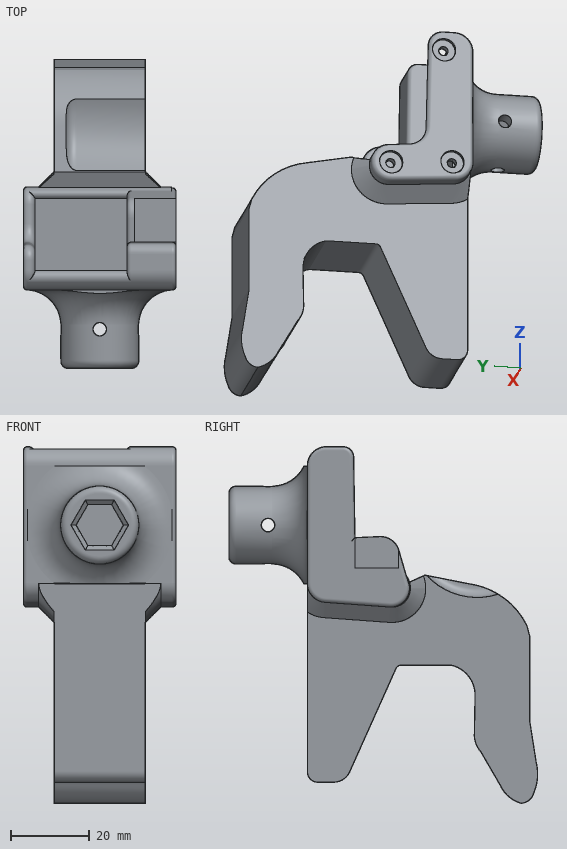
import cadquery as cq
import math


half_width = 19.5
top_z = 91.1
corner_radius = 4.9
edge_radius = 1.0
cheek_thickness = 3.0
cheek_rim_radius = 1.8
cheek_back_radius = 3.8
holder_back = 26.3
wall_thickness = corner_radius
floor_z = 52.4
lip_front = 23.3
lip_rim_radius = 1.1
block_left = 7.0
block_back_radius = 2.7
block_shoulder_radius = 4.9
core_inset = edge_radius + 0.2

front_bottom = (0, 51.7)
front_top = (0, top_z)
back_bottom = (holder_back, 49.75)
cheek_top_back = (11.5, top_z)
cheek_step_inner = (12.2, 60.7)
cheek_step_outer = (holder_back, 59.5)
foot_radius = 4.7
block_top_back = (11.85, top_z)
block_step_inner = (12.2, 67.9)
block_step_outer = (22.3, 68.3)
block_heel = (26.1, 55.6)

pocket_left = 8.9
pocket_back = 23.3
pocket_floor_z = 60.1
pocket_top_z = 72.9

screw_places = [(7.65, 86.0), (5.5, 55.95), (21.4, 54.9)]
screw_diameter = 2.4
screw_head_diameter = 6.0
screw_head_depth = 1.0

socket_z = 71.1
socket_radius = 20.0 / 2
socket_length = 20.05
socket_end_radius = 1.9
flare_radius = 8.9
flare_half_height = 15.0
flare_half_width = 18.5
hex_mouth_width = 12.8
hex_width = 10.5
hex_depth = 13.7
pin_diameter = 3.4
pin_y = -10

arm_half_width = 11.7
neck_half_width = 15.6
arm_front_top_z = 56.1
lip_top = (26.1, 56.5)
hump_tip = (30.1, 58.3)
hump_end = (41.6, 56.0)
crotch = (23.05, 35.3)
leg_back = (9.7, 5.4)
arm_underside_z = crotch[1]
leg_bottom_z = leg_back[1]
leg_front_radius = 2.7
leg_back_radius = 4.6
crotch_radius = 1.4
scoop_front = (30.5, 58.2)
scoop_back = (48.7, 53.4)
scoop_left = -8.6
scoop_depth = 2.7
scoop_end_radius = 2.7

overshoot = 0.9


def side_plane(x):
    return cq.Workplane("YZ", origin=(x, 0, 0))


def box(x_range, y_range, z_range):
    corners = list(zip(x_range, y_range, z_range))
    size = [high - low for low, high in zip(*corners)]
    return cq.Workplane("XY").box(*size, centered=False).translate(corners[0])


def rounded_prism(corners, x_start, x_end):
    """Prism along X from (Y, Z, radius) corners, each rounded by its radius."""
    points = [(y, z) for y, z, _ in corners]
    prism = side_plane(x_start).polyline(points).close().extrude(x_end - x_start)
    for y, z, radius in corners:
        if radius:
            near = cq.selectors.NearestToPointSelector(((x_start + x_end) / 2, y, z))
            prism = prism.edges("|X").edges(near).fillet(radius)
    return prism


def cheek_prism(x_start, x_end):
    return rounded_prism(
        [
            (*front_bottom, corner_radius),
            (*front_top, corner_radius),
            (*cheek_top_back, cheek_back_radius),
            (*cheek_step_inner, corner_radius),
            (*cheek_step_outer, foot_radius),
            (*back_bottom, foot_radius),
        ],
        x_start,
        x_end,
    )


def left_cheek():
    inner_x = -half_width + cheek_thickness
    cheek = cheek_prism(-half_width, inner_x)
    cheek = cheek.faces("<X").edges().fillet(edge_radius)
    return cheek.faces(">X").edges().fillet(cheek_rim_radius)


def cavity(x_start, x_end):
    return box((x_start, x_end), (wall_thickness, lip_front), (floor_z, top_z + overshoot))


def tray_core():
    """Front wall, floor and back lip that join the cheek to the block."""
    x_end = half_width - core_inset
    core = cheek_prism(-x_end, x_end)
    core = core.cut(cavity(-x_end, x_end))
    for y, z, radius in [
        (wall_thickness, top_z, cheek_rim_radius),
        (lip_front, cheek_step_outer[1], lip_rim_radius),
    ]:
        near = cq.selectors.NearestToPointSelector((0, y, z))
        core = core.edges("|X").edges(near).fillet(radius)
    return core


def right_block():
    block = rounded_prism(
        [
            (*front_bottom, corner_radius),
            (*front_top, corner_radius),
            (*block_top_back, block_back_radius),
            (*block_step_inner, 0),
            (*block_step_outer, block_shoulder_radius),
            (*block_heel, 0),
            (*back_bottom, foot_radius),
        ],
        block_left,
        half_width,
    )
    block = block.faces("<X or >X").edges().fillet(edge_radius)
    pocket = box(
        (pocket_left, half_width + overshoot),
        (cheek_step_inner[0], pocket_back),
        (pocket_floor_z, pocket_top_z),
    )
    return block.cut(pocket)


def neck():
    """45-degree flares from the arm sides out to the holder."""
    depth = neck_half_width - arm_half_width
    foot = rounded_prism(
        [
            (*front_bottom, corner_radius),
            (0, cheek_step_inner[1], 0),
            (*cheek_step_outer, foot_radius),
            (*back_bottom, foot_radius),
        ],
        -half_width,
        -neck_half_width,
    )
    flare = foot.faces(">X").wires().toPending().extrude(depth, combine=False, taper=-45)
    trim = (
        side_plane(-neck_half_width)
        .polyline([(0, 0), (0, arm_front_top_z), lip_top, hump_tip, (hump_tip[0] + depth, 0)])
        .close()
        .extrude(depth)
    )
    flare = flare.intersect(trim)
    return flare.union(flare.mirror("YZ"))


def arm():
    profile = (
        side_plane(-arm_half_width)
        .moveTo(0, leg_bottom_z)
        .lineTo(0, arm_front_top_z)
        .lineTo(*lip_top)
        .lineTo(*hump_tip)
        .lineTo(*hump_end)
        .threePointArc((50.7, 52.1), (56.1, 45.4))
        .lineTo(56.9, 42.6)
        .lineTo(56.9, 21)
        .lineTo(58.5, 10.5)
        .threePointArc((58.9, 7.1), (57.9, 2.6))
        .threePointArc((56.6, 0.7), (54.6, 0))
        .threePointArc((51.8, 1.5), (49.2, 4.7))
        .lineTo(44.3, 13.2)
        .threePointArc((43.1, 15.1), (42.6, 17.2))
        .lineTo(42.8, 27.5)
        .threePointArc((40.9, 32.8), (36.7, arm_underside_z))
        .lineTo(*crotch)
        .lineTo(*leg_back)
        .close()
    )
    body = profile.extrude(2 * arm_half_width)
    for corner, radius in [
        ((0, leg_bottom_z), leg_front_radius),
        (leg_back, leg_back_radius),
        (crotch, crotch_radius),
    ]:
        near = cq.selectors.NearestToPointSelector((0, *corner))
        body = body.edges("|X").edges(near).fillet(radius)
    return body.cut(scoop())


def scoop():
    """Shallow trough across the arm top, open on the right and rounded on the left."""
    (y_front, z_front), (y_back, z_back) = scoop_front, scoop_back
    run = y_back - y_front
    rise = z_back - z_front
    chord = math.hypot(run, rise)
    radius = (chord**2 / 4 + scoop_depth**2) / (2 * scoop_depth)
    lift = (radius - scoop_depth) / chord
    center = ((y_front + y_back) / 2 - rise * lift, (z_front + z_back) / 2 + run * lift)
    length = arm_half_width - scoop_left + overshoot
    cutter = side_plane(scoop_left).center(*center).circle(radius).extrude(length)
    return cutter.faces("<X").edges().fillet(scoop_end_radius)


def socket():
    """Round socket that flares out into the front of the holder."""
    tip_radius = socket_radius - socket_end_radius
    tip_shoulder = socket_end_radius - socket_length
    bend = 1 - math.sqrt(0.5)
    spindle = (
        cq.Workplane("XY")
        .moveTo(0, 0)
        .lineTo(socket_radius + flare_radius, 0)
        .threePointArc(
            (socket_radius + flare_radius * bend, -flare_radius * bend),
            (socket_radius, -flare_radius),
        )
        .lineTo(socket_radius, tip_shoulder)
        .threePointArc(
            (socket_radius - socket_end_radius * bend, -socket_length + socket_end_radius * bend),
            (tip_radius, -socket_length),
        )
        .lineTo(0, -socket_length)
        .close()
        .revolve(360, (0, 0), (0, 1))
    )
    footprint = box(
        (-flare_half_width, flare_half_width),
        (-socket_length, 0),
        (-flare_half_height, flare_half_height),
    )
    return spindle.intersect(footprint).translate((0, 0, socket_z))


def hexagon_prism(width, depth, taper=0):
    """Hexagonal bore from the socket mouth inward, with flats up and down."""
    mouth = cq.Workplane("XZ", origin=(0, -socket_length, socket_z))
    return mouth.polygon(6, width / math.cos(math.pi / 6)).extrude(-depth, taper=taper)


def socket_bores():
    """Hexagonal bore with a chamfered mouth, crossed by two pin holes."""
    chamfer = (hex_mouth_width - hex_width) / 2
    bores = hexagon_prism(hex_width, hex_depth).union(hexagon_prism(hex_mouth_width, chamfer, 45))
    for direction in [(1, 0, 0), (0, 0, 1)]:
        axis = cq.Vector(*direction)
        start = cq.Vector(0, pin_y, socket_z) - axis * (2 * socket_radius)
        pin = cq.Solid.makeCylinder(pin_diameter / 2, 4 * socket_radius, start, axis)
        bores = bores.union(cq.Workplane(pin))
    return bores


def screw_holes():
    face = side_plane(-half_width)
    holes = face.pushPoints(screw_places).circle(screw_diameter / 2).extrude(cheek_thickness)
    heads = face.pushPoints(screw_places).circle(screw_head_diameter / 2).extrude(screw_head_depth)
    return holes.union(heads)


holder = left_cheek().union(tray_core()).union(right_block()).cut(screw_holes())
result = (
    holder.union(neck())
    .union(arm())
    .cut(cavity(-half_width + cheek_thickness, block_left))
    .union(socket())
    .cut(socket_bores())
)